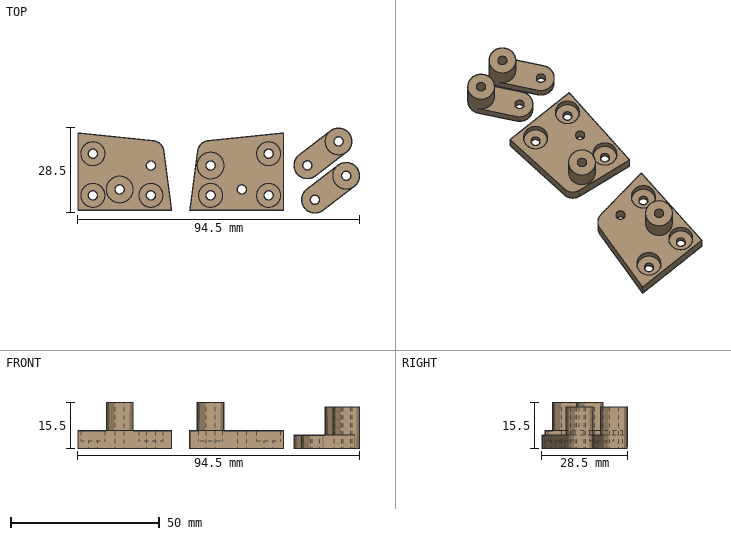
import cadquery as cq

hole_diameter = 3.0
post_diameter = 9.0
post_height = 9.45

plate_width = 31.5
plate_depth = 26.0
plate_thickness = 6.05
corner_x = 28.4
corner_y = 23.1
corner_radius = 4.0
plate_pair_span = 69.0
counterbore_diameter = 8.0
counterbore_depth = 3.5

edge_distance = 5.0
screw_far_x = 24.5
screw_back_y = 19.0
inner_pivot = (14.0, 7.0)
outer_pivot = (screw_far_x, 15.0)
screw_places = [
    (edge_distance, edge_distance),
    (screw_far_x, edge_distance),
    (edge_distance, screw_back_y),
]

arm_thickness = 4.5
arm_radius = post_diameter / 2
arm_reach_x = outer_pivot[0] - inner_pivot[0]
arm_reach_y = outer_pivot[1] - inner_pivot[1]
overall_length = 94.5
front_arm_x = overall_length - arm_radius - arm_reach_x
front_arm_y = 3.54
arm_offset_x = -2.55
arm_offset_y = 11.5
arm_count = 2


def cylinder(place, diameter, height, base_z=0.0):
    """Upright cylinder standing on the height base_z."""
    return (
        cq.Workplane("XY", origin=(place[0], place[1], base_z))
        .circle(diameter / 2)
        .extrude(height)
    )


def make_plate(post_place):
    """Left-hand plate with a post on one of its two pivot holes."""
    outline = [(0, 0), (plate_width, 0), (corner_x, corner_y), (0, plate_depth)]
    plate = cq.Workplane("XY").polyline(outline).close().extrude(plate_thickness)
    rounded_edge = cq.selectors.NearestToPointSelector((corner_x, corner_y, plate_thickness / 2))
    plate = plate.edges("|Z").edges(rounded_edge).fillet(corner_radius)

    floor_z = plate_thickness - counterbore_depth
    for place in screw_places:
        plate = plate.cut(cylinder(place, hole_diameter, plate_thickness))
        plate = plate.cut(cylinder(place, counterbore_diameter, counterbore_depth, floor_z))

    plate = plate.union(cylinder(post_place, post_diameter, post_height, plate_thickness))
    for place in (inner_pivot, outer_pivot):
        plate = plate.cut(cylinder(place, hole_diameter, plate_thickness + post_height))
    return plate


def make_arm(x, y):
    """Round-ended arm from (x, y), with a post on its far end and a hole at each end."""
    near_end = cq.Vector(x, y)
    far_end = near_end + cq.Vector(arm_reach_x, arm_reach_y)
    along = (far_end - near_end).normalized() * arm_radius
    across = cq.Vector(-along.y, along.x)
    arm = (
        cq.Workplane("XY")
        .moveTo(*(near_end - across).toTuple()[:2])
        .lineTo(*(far_end - across).toTuple()[:2])
        .threePointArc((far_end + along).toTuple()[:2], (far_end + across).toTuple()[:2])
        .lineTo(*(near_end + across).toTuple()[:2])
        .threePointArc((near_end - along).toTuple()[:2], (near_end - across).toTuple()[:2])
        .close()
        .extrude(arm_thickness)
    )
    far_place = (far_end.x, far_end.y)
    arm = arm.union(cylinder(far_place, post_diameter, post_height, arm_thickness))
    for place in ((x, y), far_place):
        arm = arm.cut(cylinder(place, hole_diameter, arm_thickness + post_height))
    return arm


left_plate = make_plate(inner_pivot)
right_plate = make_plate(outer_pivot).mirror("YZ").translate((plate_pair_span, 0, 0))
arms = [
    make_arm(front_arm_x + i * arm_offset_x, front_arm_y + i * arm_offset_y)
    for i in range(arm_count)
]

result = cq.Compound.makeCompound(
    [left_plate.val(), right_plate.val(), *[arm.val() for arm in arms]]
)